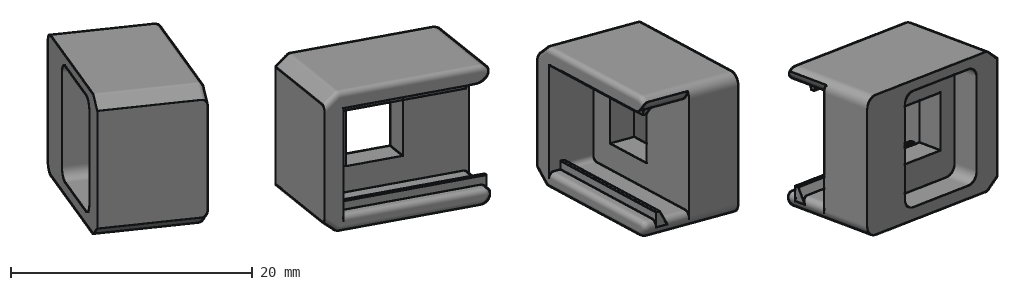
import cadquery as cq
import math

width = 15.36
depth = 9.5
height = 12.53
corner_radius = 1.0
chamfer_x = 1.23
chamfer_z = 1.0
chamfer_blend = 0.49
back_fillet = 0.5
inner_back_fillet = 0.49

block_depth = 5.0
arm_thickness = 1.46
end_wall = 1.72
cavity_radius = 0.48
lower_tip_z = 0.88
lower_tip_radius = arm_thickness - lower_tip_z
upper_tip_drop = 0.35
upper_tip_radius = 1.38

ridge_height = 2.23
ridge_back_y = 8.35
ridge_crest_y = 7.99
ridge_foot_y = 7.22
upper_ridge_root = 1.29
upper_ridge_end_radius = ridge_height - upper_ridge_root

opening_mid_z = 6.37
pocket_left = 4.44
pocket_width = 8.46
pocket_height = 10.41
pocket_radius = 1.0
pocket_depth = 2.55
window_left = 6.07
window_size = 5.19

mid_z = height / 2
cavity_right = width - end_wall


def corner_arc_x(z_from_face):
    """X on a rounded -X corner at the given distance from the top or bottom face."""
    return corner_radius - math.sqrt(corner_radius**2 - (corner_radius - z_from_face) ** 2)


lower_tip_x = corner_arc_x(lower_tip_z)
upper_tip_x = corner_arc_x(upper_tip_drop)


def upper_arc_run(drop):
    """Distance in X from the end of the upper tip arc to its point at the given drop from the top."""
    rise = upper_tip_radius - (arm_thickness - drop)
    return math.sqrt(upper_tip_radius**2 - rise**2)


upper_arc_end_x = upper_tip_x + upper_arc_run(upper_tip_drop)


def front_plane(y):
    """XZ workplane at the given depth; positive extrusion goes toward -Y."""
    return cq.Workplane(cq.Plane(origin=(0, y, 0), xDir=(1, 0, 0), normal=(0, -1, 0)))


def make_block():
    shoulder_x = width - chamfer_x
    block = (
        front_plane(0)
        .moveTo(0, 0)
        .lineTo(shoulder_x, 0)
        .lineTo(width, chamfer_z)
        .lineTo(width, height - chamfer_z)
        .lineTo(shoulder_x, height)
        .lineTo(0, height)
        .close()
        .extrude(-depth)
    )
    block = block.edges("|Y and <X").fillet(corner_radius)
    for z in (0, height):
        shoulder = cq.selectors.NearestToPointSelector((shoulder_x, depth / 2, z))
        block = block.edges("|Y").edges(shoulder).fillet(chamfer_blend)
    return block


def make_cavity():
    """Cavity whose lower arm tip is rounded and whose upper arm tip is sharp."""
    diagonal = math.sqrt(0.5)
    lower_mid = (
        lower_tip_x + lower_tip_radius * (1 - diagonal),
        lower_tip_z + lower_tip_radius * diagonal,
    )
    cavity = (
        front_plane(block_depth)
        .moveTo(-corner_radius, lower_tip_z)
        .lineTo(lower_tip_x, lower_tip_z)
        .threePointArc(lower_mid, (lower_tip_x + lower_tip_radius, arm_thickness))
        .lineTo(cavity_right, arm_thickness)
        .lineTo(cavity_right, height - arm_thickness)
        .lineTo(upper_arc_end_x, height - arm_thickness)
        .radiusArc((upper_tip_x, height - upper_tip_drop), upper_tip_radius)
        .lineTo(-corner_radius, height - upper_tip_drop)
        .close()
        .extrude(block_depth - depth)
    )
    rounded_corners = cavity.edges("|Y and >X").fillet(cavity_radius)
    behind_ridges = (
        cq.Workplane()
        .box(width, depth, height, centered=False)
        .translate((-corner_radius, ridge_back_y, 0))
    )
    return rounded_corners.union(cavity.intersect(behind_ridges))


def round_back_edges(block):
    """Round the back edges of the solid block, except along the +X face."""
    return block.faces(">Y").edges("not(|Z and >X)").fillet(back_fillet)


def round_inner_lower_edge(body):
    """Round the inner back edge of the lower arm, along its flat and around its tip."""
    margin = 0.02
    edge_zone = cq.selectors.BoxSelector(
        (0, depth - margin, lower_tip_z),
        (cavity_right - margin, depth + margin, arm_thickness + margin),
    )
    return body.edges(edge_zone).fillet(inner_back_fillet)


def make_lower_ridge():
    return (
        cq.Workplane("YZ")
        .moveTo(ridge_back_y, lower_tip_z)
        .lineTo(ridge_back_y, ridge_height)
        .lineTo(ridge_crest_y, ridge_height)
        .lineTo(ridge_foot_y, lower_tip_z)
        .close()
        .extrude(cavity_right + cavity_radius)
    )


def make_upper_ridge():
    """Mirror of the lower ridge, with a hollow end that starts on the tip arc."""
    ridge = make_lower_ridge().mirror("XY", (0, 0, mid_z))
    end_x = upper_arc_end_x - upper_arc_run(upper_ridge_root)
    crest_z = height - ridge_height
    root_z = height - upper_ridge_root
    end_cut = (
        front_plane(0)
        .moveTo(-corner_radius, height)
        .lineTo(end_x, height)
        .lineTo(end_x, root_z)
        .radiusArc((end_x + upper_ridge_end_radius, crest_z), upper_ridge_end_radius)
        .lineTo(-corner_radius, crest_z)
        .close()
        .extrude(-depth)
    )
    return ridge.cut(end_cut)


def make_front_opening():
    pocket = (
        front_plane(0)
        .center(pocket_left + pocket_width / 2, opening_mid_z)
        .rect(pocket_width, pocket_height)
        .extrude(-pocket_depth)
        .edges("|Y")
        .fillet(pocket_radius)
    )
    window = (
        front_plane(0)
        .center(window_left + window_size / 2, opening_mid_z)
        .rect(window_size, window_size)
        .extrude(-block_depth)
    )
    return pocket.union(window)


block = make_block()
ridges = make_lower_ridge().union(make_upper_ridge()).intersect(block)
body = round_inner_lower_edge(round_back_edges(block).cut(make_cavity()))
result = body.union(ridges).cut(make_front_opening())